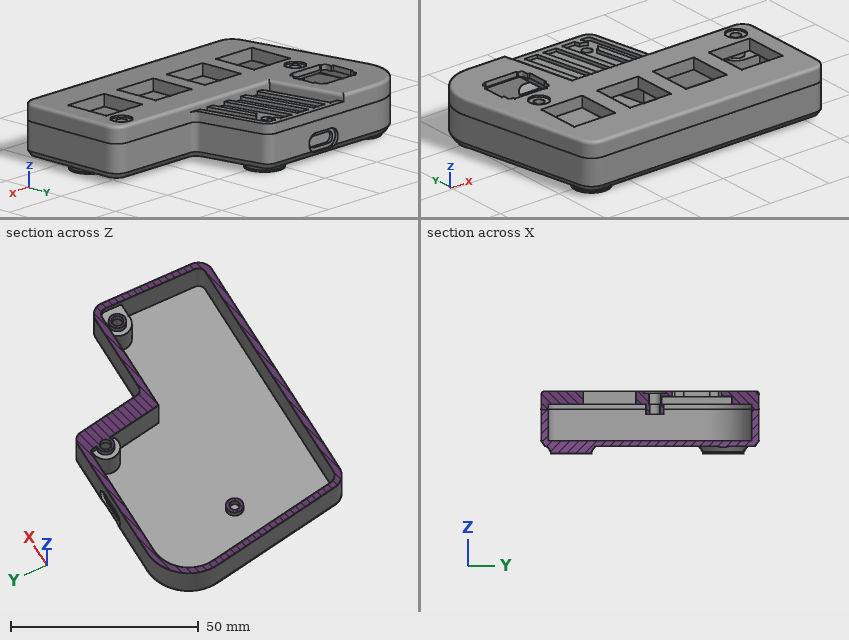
import cadquery as cq
import math

LENGTH = 89.1
WIDTH = 58.0
HEIGHT = 16.7
LEAN = math.tan(math.radians(10.8))

KEY_BLOCK_WIDTH = 35.0
GRILLE_RIGHT_FOOT = 58.9
STEP_FOOT = 30.0
BIG_RADIUS = 12.5
FRONT_LEFT_RADIUS = 5.0
RIGHT_RADIUS = 4.0
GRILLE_RADIUS = 3.0
INNER_CORNER_RADIUS = 2.0
WALL = 2.0
GRILLE_WALL_EXTRA = 4.3

FOOT_HEIGHT = 2.0
FLOOR_THICKNESS = 1.5
SPLIT_Z = 11.8
LID_UNDERSIDE_Z = 13.1
GRILLE_DEPTH = 2.0
GROOVE_DEPTH = 1.0
SKIN_THICKNESS = 1.5
BASE_CHAMFER_HEIGHT = 1.5
BASE_CHAMFER_INSET = 1.0
LID_FILLET = 1.0
FLOOR_Z = FOOT_HEIGHT + FLOOR_THICKNESS
RIM_Z = HEIGHT - GRILLE_DEPTH
GRILLE_FLOOR_Z = RIM_Z - GROOVE_DEPTH

RIB_COUNT = 4
RIB_WIDTH = 2.05
RIB_PITCH = 6.4
FIRST_RIB_OFFSET = 2.8

KEY_COUNT = 4
KEY_SIZE = 14.0
KEY_PITCH = 19.1
FIRST_KEY_X = 18.7
KEY_Y = 18.3
NAV_CENTER = (16.0, 41.45)
NAV_BODY = (13.8, 11.8)
NAV_SIDE_TABS = (15.3, 7.0)
NAV_END_TABS = (11.05, 12.9)
NAV_CORNER_RADIUS = 0.6
NAV_RELIEF = (17.8, 18.7)

LEFT_SCREW = (15.1, 30.3)
RIGHT_SCREW = (82.1, 30.0)
GRILLE_SCREW = (48.5, 51.4)
SCREW_DIAMETER = 3.0
PILOT_DIAMETER = 2.7
HEAD_DIAMETER = 6.0
HEAD_DEPTH = 0.5
BOSS_DIAMETER = 4.8
POST_DIAMETER = 7.75
POST_TOP_Z = 10.4

PORT_LEFT_X = 29.0
PORT_WIDTH = 9.0
PORT_HEIGHT = 3.3
PORT_BOTTOM_Z = 4.0
PORT_RECESS_DEPTH = 1.0
PORT_RECESS_MARGIN = 1.1

FOOT_CENTERS = [(8.8, 48.5), (15.0, 8.0), (47.9, 50.0), (81.1, 17.4)]
FOOT_DIAMETER = 11.0
FOOT_ROOT_DIAMETER = 13.0
FOOT_RIM_HEIGHT = 0.5


def leaning_x(foot_x, foot_y, y):
    """X at height y of a slanted edge that passes through (foot_x, foot_y)."""
    return foot_x - (y - foot_y) * LEAN


def rounded_outline(corners, z):
    """Closed outline at height z from (x, y, radius) corners, each rounded by a tangent arc."""
    stations = []
    for i, (x, y, radius) in enumerate(corners):
        corner = cq.Vector(x, y)
        before = cq.Vector(*corners[i - 1][:2]) - corner
        after = cq.Vector(*corners[(i + 1) % len(corners)][:2]) - corner
        half_angle = before.getAngle(after) / 2
        setback = radius / math.tan(half_angle)
        bisector = (before.normalized() + after.normalized()).normalized()
        middle = corner + bisector * (radius / math.sin(half_angle) - radius)
        start = corner + before.normalized() * setback
        end = corner + after.normalized() * setback
        stations.append((radius, start, middle, end))

    outline = cq.Workplane("XY", origin=(0, 0, z)).moveTo(*stations[-1][3].toTuple()[:2])
    for radius, start, middle, end in stations:
        outline = outline.lineTo(start.x, start.y)
        if radius > 0:
            outline = outline.threePointArc((middle.x, middle.y), (end.x, end.y))
    return outline.close()


LEFT_FOOT = BIG_RADIUS - BIG_RADIUS * math.hypot(1, LEAN) + (WIDTH - BIG_RADIUS) * LEAN
FRONT_LEFT = (LEFT_FOOT, 0, FRONT_LEFT_RADIUS)
FRONT_RIGHT = (LENGTH, 0, RIGHT_RADIUS)
KEY_BLOCK_BACK_RIGHT = (LENGTH, KEY_BLOCK_WIDTH, RIGHT_RADIUS)
BACK_LEFT = (leaning_x(LEFT_FOOT, 0, WIDTH), WIDTH, BIG_RADIUS)


def case_corners(grille_foot, inner_radius):
    """Corners of the L-shaped case whose slanted right edge meets the long arm at grille_foot."""
    return [
        FRONT_LEFT,
        FRONT_RIGHT,
        KEY_BLOCK_BACK_RIGHT,
        (grille_foot, KEY_BLOCK_WIDTH, inner_radius),
        (leaning_x(grille_foot, KEY_BLOCK_WIDTH, WIDTH), WIDTH, GRILLE_RADIUS),
        BACK_LEFT,
    ]


CASE_CORNERS = case_corners(GRILLE_RIGHT_FOOT, INNER_CORNER_RADIUS)
CAVITY_CORNERS = case_corners(GRILLE_RIGHT_FOOT - GRILLE_WALL_EXTRA, 0)
RAISED_CORNERS = [
    FRONT_LEFT,
    FRONT_RIGHT,
    KEY_BLOCK_BACK_RIGHT,
    (STEP_FOOT, KEY_BLOCK_WIDTH, 0),
    (leaning_x(STEP_FOOT, KEY_BLOCK_WIDTH, WIDTH), WIDTH, 0),
    BACK_LEFT,
]


def case_prism(bottom_z, top_z):
    return rounded_outline(CASE_CORNERS, bottom_z).extrude(top_z - bottom_z)


def inset_prism(corners, bottom_z, top_z):
    """Prism one wall thickness inside the outline of the given corners."""
    outline = rounded_outline(corners, bottom_z).offset2D(-WALL, "intersection")
    return outline.extrude(top_z - bottom_z)


def cylinder(center, diameter, bottom_z, top_z):
    plane = cq.Workplane("XY", origin=(*center, bottom_z))
    return plane.circle(diameter / 2).extrude(top_z - bottom_z)


def upright_box(center, size, bottom_z, top_z):
    return cq.Workplane("XY", origin=(*center, bottom_z)).rect(*size).extrude(top_z - bottom_z)


def foot(center):
    """Short round foot that flares outward to the underside of the base."""
    rim = cylinder(center, FOOT_DIAMETER, 0, FOOT_RIM_HEIGHT)
    flare = (
        cq.Workplane("XY", origin=(*center, FOOT_RIM_HEIGHT))
        .circle(FOOT_DIAMETER / 2)
        .workplane(offset=FOOT_HEIGHT - FOOT_RIM_HEIGHT)
        .circle(FOOT_ROOT_DIAMETER / 2)
        .loft()
    )
    return rim.union(flare)


def corner_block():
    """Block that ties the right post to the right and back walls."""
    left, post_y = RIGHT_SCREW
    front = post_y - POST_DIAMETER / 2
    size = (LENGTH - WALL - left, KEY_BLOCK_WIDTH - WALL - front)
    center = (left + size[0] / 2, front + size[1] / 2)
    block = upright_box(center, size, FLOOR_Z, POST_TOP_Z)
    return block.intersect(case_prism(FLOOR_Z, POST_TOP_Z))


def cable_port():
    """Round-ended slot through the back wall, with a wider recess for the plug outside."""
    center = (PORT_LEFT_X + PORT_WIDTH / 2, WIDTH, PORT_BOTTOM_Z + PORT_HEIGHT / 2)
    plane = cq.Workplane("XZ", origin=center)
    port = plane.slot2D(PORT_WIDTH, PORT_HEIGHT).extrude(WALL)
    growth = 2 * PORT_RECESS_MARGIN
    recess = plane.slot2D(PORT_WIDTH + growth, PORT_HEIGHT + growth).extrude(PORT_RECESS_DEPTH)
    return port.union(recess)


def make_base():
    base = case_prism(FOOT_HEIGHT, SPLIT_Z)
    base = base.faces("<Z").edges().chamfer(BASE_CHAMFER_HEIGHT, BASE_CHAMFER_INSET)
    base = base.cut(inset_prism(CAVITY_CORNERS, FLOOR_Z, SPLIT_Z))
    for center in FOOT_CENTERS:
        base = base.union(foot(center))
    for center in (RIGHT_SCREW, GRILLE_SCREW):
        base = base.union(cylinder(center, POST_DIAMETER, FLOOR_Z, POST_TOP_Z))
    base = base.union(corner_block())
    for center in (RIGHT_SCREW, GRILLE_SCREW):
        base = base.cut(cylinder(center, SCREW_DIAMETER, FLOOR_Z, POST_TOP_Z))
        base = base.cut(cylinder(center, BOSS_DIAMETER, POST_TOP_Z, SPLIT_Z))
    return base.cut(cable_port())


def grille_recess():
    """Space inside the grille rim, less the slanted ribs, which stop short of the screw head."""
    recess = inset_prism(CASE_CORNERS, GRILLE_FLOOR_Z, RIM_Z).cut(
        rounded_outline(RAISED_CORNERS, GRILLE_FLOOR_Z).extrude(GROOVE_DEPTH)
    )
    head_clearance = cylinder(GRILLE_SCREW, HEAD_DIAMETER, GRILLE_FLOOR_Z, RIM_Z)
    for i in range(RIB_COUNT):
        front_x = STEP_FOOT + FIRST_RIB_OFFSET + i * RIB_PITCH
        back_x = leaning_x(front_x, KEY_BLOCK_WIDTH, WIDTH)
        rib = (
            cq.Workplane("XY", origin=(0, 0, GRILLE_FLOOR_Z))
            .moveTo(front_x, KEY_BLOCK_WIDTH)
            .lineTo(front_x + RIB_WIDTH, KEY_BLOCK_WIDTH)
            .lineTo(back_x + RIB_WIDTH, WIDTH)
            .lineTo(back_x, WIDTH)
            .close()
            .extrude(GROOVE_DEPTH)
        )
        recess = recess.cut(rib.cut(head_clearance))
    return recess


def navigation_opening():
    """Rectangular opening with round corners and a shallow tab on each side."""
    body = upright_box(NAV_CENTER, NAV_BODY, LID_UNDERSIDE_Z, HEIGHT)
    opening = body.edges("|Z").fillet(NAV_CORNER_RADIUS)
    for tabs in (NAV_SIDE_TABS, NAV_END_TABS):
        opening = opening.union(upright_box(NAV_CENTER, tabs, LID_UNDERSIDE_Z, HEIGHT))
    return opening.union(
        upright_box(NAV_CENTER, NAV_RELIEF, LID_UNDERSIDE_Z, HEIGHT - SKIN_THICKNESS)
    )


def make_lid():
    raised = rounded_outline(RAISED_CORNERS, RIM_Z).extrude(GRILLE_DEPTH)
    raised = raised.faces(">Z").edges().fillet(LID_FILLET)
    lid = case_prism(SPLIT_Z, RIM_Z).union(raised)
    lid = lid.cut(inset_prism(CAVITY_CORNERS, SPLIT_Z, LID_UNDERSIDE_Z))
    lid = lid.cut(grille_recess()).cut(navigation_opening())

    for i in range(KEY_COUNT):
        center = (FIRST_KEY_X + i * KEY_PITCH, KEY_Y)
        lid = lid.cut(upright_box(center, (KEY_SIZE, KEY_SIZE), LID_UNDERSIDE_Z, HEIGHT))

    for center in (LEFT_SCREW, RIGHT_SCREW, GRILLE_SCREW):
        lid = lid.union(cylinder(center, BOSS_DIAMETER, POST_TOP_Z, LID_UNDERSIDE_Z))
    for center in (LEFT_SCREW, RIGHT_SCREW):
        lid = lid.cut(cylinder(center, HEAD_DIAMETER, HEIGHT - HEAD_DEPTH, HEIGHT))
    for center in (RIGHT_SCREW, GRILLE_SCREW):
        lid = lid.cut(cylinder(center, SCREW_DIAMETER, POST_TOP_Z, HEIGHT))

    lid = lid.cut(cylinder(LEFT_SCREW, SCREW_DIAMETER, LID_UNDERSIDE_Z, HEIGHT))
    return lid.cut(cylinder(LEFT_SCREW, PILOT_DIAMETER, POST_TOP_Z, LID_UNDERSIDE_Z))


base = make_base()
lid = make_lid()

result = cq.Compound.makeCompound([base.val(), lid.val()])